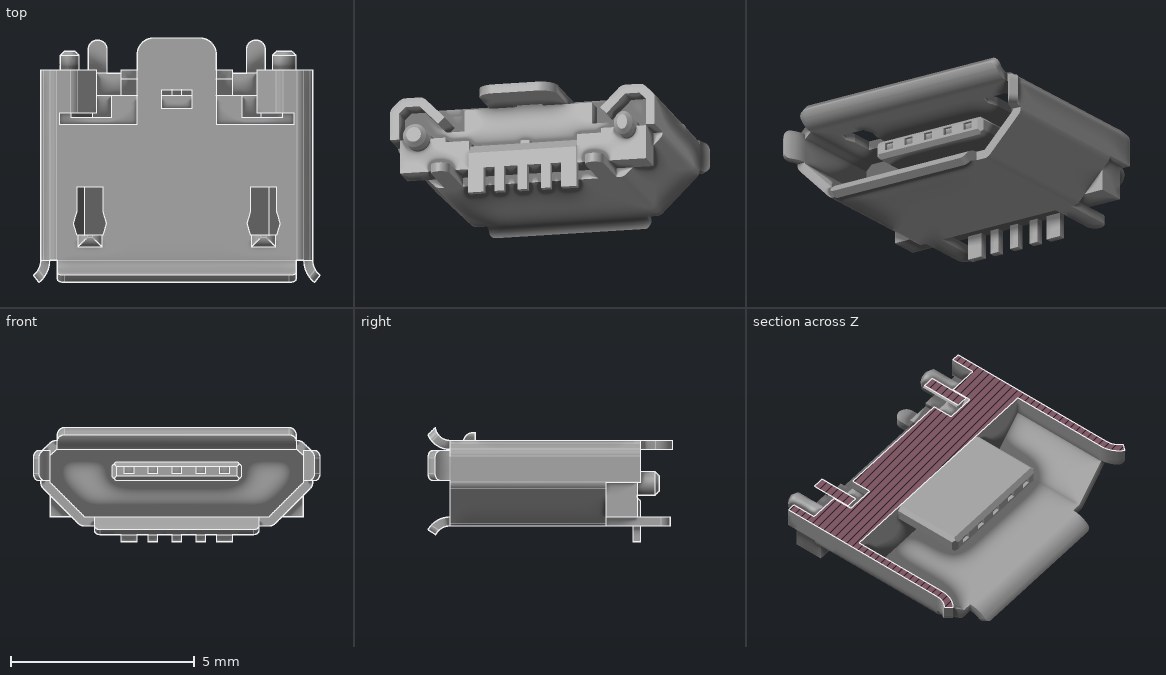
import cadquery as cq
import math


sheet = 0.25
shell_height = 2.33
shell_length = 5.18
inner_half_width = 3.45
inner_bottom = sheet
inner_top = shell_height - sheet
top_flat_half = 3.27
shoulder_z = 1.91
side_bottom_z = 1.195
bottom_flat_half = inner_half_width - (side_bottom_z - inner_bottom)
outer_half_width = inner_half_width + sheet

lip_reach = 0.6
top_lip = dict(width=6.5, bend_radius=0.65, end_angle=45, corner=0.2)
bottom_lip = dict(width=4.48, bend_radius=0.69, end_angle=33, corner=0.15)
side_lip = dict(width=0.82, bend_radius=0.758, end_angle=38, corner=0.2)
side_lip_z = 1.645

roof_cut_y = 3.69
roof_cut_half = 3.19
flap_front_y = 4.0
flap_bend_x = 2.77
flap_bend_radius = 0.27
flap_bend_angle = 45
flap_tip_x = 2.175
lower_cut_y = 4.24
lower_cut_z = 1.18
rear_tab_half = 1.08
rear_tab_end_y = 6.05
rear_tab_radius = 0.46
rear_slot_size = (0.82, 0.51)
rear_slot_y = 4.38
leg_x = 2.15
leg_width = 0.52
leg_end_y = 5.99

window_x = 2.36
window_half = 0.357
window_bulge_half = 0.45
window_front_y = 0.69
window_bulge_y = 1.0
window_straight_y = 1.32
window_rear_y = 1.99
bump_width = 0.67
bump_length = 0.33
bump_height = 0.21
bump_radius = 0.265

cavity_depth = 2.9
body_rear_y = 4.48
notch_y = 3.89
notch_inner_x = 1.78
notch_outer_x = 2.88
notch_depth = 0.594
foot_half_width = 3.44
foot_rear_y = 5.09
foot_step_z = 1.05
carrier_half_width = 1.51
carrier_top_z = 0.93
carrier_chamfer = 0.25
foot_bottom_z = inner_bottom

tongue_front_y = 0.9
tongue_half_width = 1.76
tongue_bottom_z = 1.235
tongue_top_z = 1.745
tongue_chamfer = 0.12
tongue_edge_chamfer = 0.11
contact_count = 5
contact_pitch = 0.65
contact_width = 0.265
contact_thickness = 0.2
outer_tail_width = 0.44
tail_depth = 0.21
tail_bottom_z = -0.43
rib_width = 0.25
rib_length = 0.4
rib_height = 0.1
contact_pocket_depth = 0.1

pegs = [(-2.91, 0.52, 0.65), (2.92, 0.65, 0.65)]
peg_z = 1.16
peg_end_y = 5.69
peg_chamfer = 0.12

deep = 10.0


def block(x0, x1, y0, y1, z0, z1):
    """Axis-aligned box between two opposite corners."""
    return cq.Workplane("XY").box(x1 - x0, y1 - y0, z1 - z0, centered=False).translate((x0, y0, z0))


def centred_block(half_width, y0, y1, z0, z1):
    """Box symmetric about X = 0."""
    return block(-half_width, half_width, y0, y1, z0, z1)


def extrude_along_y(points, y0, y1):
    """Closed XZ outline swept from y0 to y1."""
    outline = cq.Workplane("XZ", origin=(0, y0, 0)).polyline(points).close()
    return outline.extrude(y0 - y1)


def both_sides(right_side):
    """A right-hand feature together with its mirror image."""
    return right_side.union(right_side.mirror("YZ"))


def cavity_outline():
    """Right half from bottom to top, then the left half back down."""
    right = [
        (bottom_flat_half, inner_bottom),
        (inner_half_width, side_bottom_z),
        (inner_half_width, shoulder_z),
        (top_flat_half, inner_top),
    ]
    left = [(-x, z) for x, z in reversed(right)]
    return right + left


def lip(origin, rise_direction, width, bend_radius, end_angle, corner):
    """Sheet flared from the mouth between two concentric arcs, with rounded end corners.

    The profile's x runs out of the mouth and y runs away from the opening.
    bend_radius belongs to the surface that faces the opening; end_angle is the
    slope of the end face, measured back from the outward direction.
    """
    outer_radius = bend_radius - sheet
    slope = math.radians(end_angle)
    back, up = -math.cos(slope), math.sin(slope)

    tip_x = lip_reach
    tip_y = outer_radius - math.sqrt(bend_radius**2 - tip_x**2)
    along = back * tip_x + up * (tip_y - outer_radius)
    face_length = -along - math.sqrt(along**2 - (bend_radius**2 - outer_radius**2))
    heel_x = tip_x + face_length * back
    heel_y = tip_y + face_length * up

    def halfway(radius, x, y):
        """Point midway along the arc from the mouth to (x, y)."""
        turn = math.atan2(x, outer_radius - y) / 2
        return (radius * math.sin(turn), outer_radius - radius * math.cos(turn))

    profile = (
        cq.Workplane("XY")
        .moveTo(0, 0)
        .threePointArc(halfway(outer_radius, heel_x, heel_y), (heel_x, heel_y))
        .lineTo(tip_x, tip_y)
        .threePointArc(halfway(bend_radius, tip_x, tip_y), (0, -sheet))
        .close()
    )
    end_edges = cq.selectors.ParallelDirSelector(cq.Vector(back, up, 0))
    solid = profile.extrude(width / 2, both=True).edges(end_edges).fillet(corner)
    outward = cq.Vector(0, -1, 0)
    plane = cq.Plane(origin, outward, outward.cross(cq.Vector(*rise_direction)))
    return cq.Workplane(solid.val().moved(cq.Location(plane)))


def shell_tube():
    """Closed tube with the roof and the lower rear cut away."""
    outer = (
        cq.Workplane("XZ").polyline(cavity_outline()).close().offset2D(sheet, "arc").extrude(-shell_length)
    )
    tube = outer.cut(extrude_along_y(cavity_outline(), 0, shell_length))
    tube = tube.cut(centred_block(roof_cut_half, roof_cut_y, deep, inner_top, deep))
    return tube.cut(centred_block(deep, lower_cut_y, deep, -deep, lower_cut_z))


def rear_tab():
    """Slotted tongue of roof sheet that overhangs the rear."""
    tab = centred_block(rear_tab_half, roof_cut_y, rear_tab_end_y, inner_top, shell_height)
    tab = tab.edges("|Z and >Y").fillet(rear_tab_radius)
    slot_width, slot_length = rear_slot_size
    slot = (
        cq.Workplane("XY", origin=(0, rear_slot_y, inner_top)).rect(slot_width, slot_length).extrude(sheet)
    )
    return tab.cut(slot)


def rear_flap():
    """Right-hand roof flap bent down onto the body."""
    bend = math.radians(flap_bend_angle)
    drop = (flap_bend_x - flap_tip_x) * math.tan(bend)
    tip_dx = sheet * math.sin(bend)
    tip_dz = sheet * math.cos(bend)
    underside_bend_x = flap_bend_x + sheet * math.tan(bend / 2)
    flap = extrude_along_y(
        [
            (top_flat_half, shell_height),
            (flap_bend_x, shell_height),
            (flap_tip_x, shell_height - drop),
            (flap_tip_x + tip_dx, shell_height - drop - tip_dz),
            (underside_bend_x, inner_top),
            (top_flat_half, inner_top),
        ],
        flap_front_y,
        shell_length,
    )
    middle_y = (flap_front_y + shell_length) / 2
    bend_edge = cq.selectors.NearestToPointSelector((flap_bend_x, middle_y, shell_height))
    return flap.edges(bend_edge).fillet(flap_bend_radius)


def solder_leg():
    """Right-hand leg of floor sheet with a full-round end."""
    radius = leg_width / 2
    tip_y = leg_end_y - radius
    leg = block(leg_x - radius, leg_x + radius, lower_cut_y - sheet, tip_y, 0, sheet)
    tip = cq.Workplane("XY", origin=(leg_x, tip_y, 0)).circle(radius)
    return leg.union(tip.extrude(sheet))


def latch_window():
    """Right-hand opening cut through the roof, bulged near its front."""
    right = [
        (window_half, window_front_y),
        (window_bulge_half, window_bulge_y),
        (window_half, window_straight_y),
        (window_half, window_rear_y),
    ]
    left = [(-x, y) for x, y in reversed(right)]
    outline = [(window_x + x, y) for x, y in right + left]
    return cq.Workplane("XY", origin=(0, 0, inner_top)).polyline(outline).close().extrude(sheet)


def latch_bump():
    """Right-hand raised bump in front of the window, rounded on all but its rear."""
    half = bump_width / 2
    bump = block(
        window_x - half,
        window_x + half,
        window_front_y - bump_length,
        window_front_y,
        inner_top,
        shell_height + bump_height,
    )
    return bump.edges(">Z and (<Y or >X or <X)").fillet(bump_radius)


def shell():
    """Sheet-metal shell with its tab, flaps, legs, latch windows and lips."""
    part = shell_tube().union(rear_tab())
    part = part.union(both_sides(rear_flap())).union(both_sides(solder_leg()))
    part = part.cut(both_sides(latch_window())).union(both_sides(latch_bump()))
    part = part.union(lip((0, 0, shell_height), (0, 0, 1), **top_lip))
    part = part.union(lip((0, 0, 0), (0, 0, -1), **bottom_lip))
    part = part.union(lip((outer_half_width, 0, side_lip_z), (1, 0, 0), **side_lip))
    return part.union(lip((-outer_half_width, 0, side_lip_z), (-1, 0, 0), **side_lip))


def body():
    """Block that fills the shell behind the cavity, with rear steps and feet."""
    block_in_shell = extrude_along_y(cavity_outline(), cavity_depth, body_rear_y)
    notch_floor = inner_top - notch_depth
    notch = extrude_along_y(
        [
            (notch_inner_x, inner_top),
            (notch_outer_x, inner_top),
            (notch_outer_x - notch_depth, notch_floor),
            (notch_inner_x, notch_floor),
        ],
        notch_y,
        body_rear_y,
    )
    carrier = centred_block(carrier_half_width, body_rear_y, shell_length, foot_bottom_z, carrier_top_z)
    carrier = carrier.edges(">Y and >Z").chamfer(carrier_chamfer)
    foot = centred_block(foot_half_width, lower_cut_y, foot_rear_y, foot_bottom_z, lower_cut_z)
    foot = foot.cut(centred_block(carrier_half_width, body_rear_y, foot_rear_y, foot_bottom_z, lower_cut_z))
    foot = foot.cut(centred_block(flap_tip_x, body_rear_y, foot_rear_y, foot_step_z, lower_cut_z))
    rib = centred_block(
        rib_width / 2, body_rear_y, body_rear_y + rib_length, foot_bottom_z, carrier_top_z + rib_height
    )
    return block_in_shell.cut(both_sides(notch)).union(foot).union(carrier).union(rib)


def contact_positions():
    """X positions of the contacts, spaced evenly about the middle."""
    return [(i - (contact_count - 1) / 2) * contact_pitch for i in range(contact_count)]


def tongue():
    """Contact tongue in the cavity, bevelled at its front and long edges, with contact pockets."""
    bar = centred_block(tongue_half_width, tongue_front_y, cavity_depth, tongue_bottom_z, tongue_top_z)
    bevelled_front = bar.faces("<Y").edges().chamfer(tongue_chamfer)
    part = bevelled_front.intersect(bar.edges("|Y").chamfer(tongue_edge_chamfer))
    pocket_top = tongue_top_z - tongue_chamfer
    for x in contact_positions():
        pocket = block(
            x - contact_width / 2,
            x + contact_width / 2,
            tongue_front_y,
            tongue_front_y + contact_pocket_depth,
            pocket_top - contact_thickness,
            pocket_top,
        )
        part = part.cut(pocket)
    return part


def contact_tails():
    """Solder tails below the carrier; the two outermost are wider."""
    xs = contact_positions()
    tails = cq.Workplane("XY")
    for x in xs:
        half = (outer_tail_width if x in (xs[0], xs[-1]) else contact_width) / 2
        front_y = shell_length - tail_depth
        tails = tails.add(block(x - half, x + half, front_y, shell_length, tail_bottom_z, foot_bottom_z))
    return tails.combine()


def peg(x, width, height):
    """Locating peg on the rear of the body, chamfered at its end."""
    outline = cq.Workplane("XZ", origin=(x, body_rear_y, peg_z))
    if width == height:
        outline = outline.circle(width / 2)
    else:
        outline = outline.ellipse(width / 2, height / 2)
    return outline.extrude(body_rear_y - peg_end_y).faces(">Y").chamfer(peg_chamfer)


result = shell().union(body()).union(tongue()).union(contact_tails())
for peg_size in pegs:
    result = result.union(peg(*peg_size))